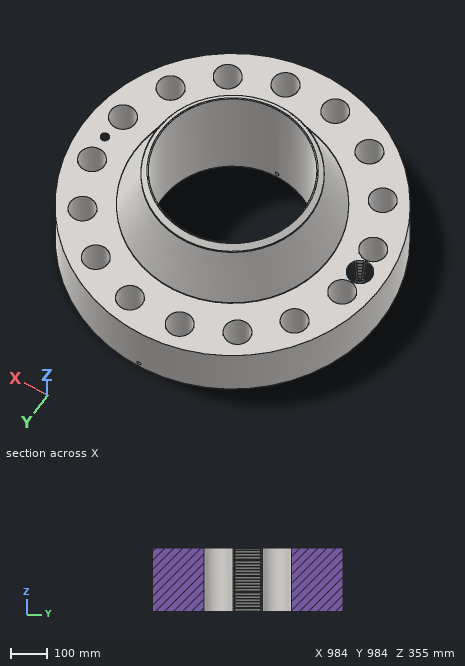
import cadquery as cq

flange_diameter = 984.0
flange_thickness = 177.0
bore_diameter = 467.0

overall_height = 355.0
hub_base_diameter = 644.0
neck_diameter = 508.0
hub_edge_height = 3.0
neck_land_height = 6.0
weld_bevel_height = 14.0
weld_face_diameter = 474.0

bolt_count = 16
bolt_circle_diameter = 832.0
bolt_hole_diameter = 80.0

jack_radius = 415.0
jack_major_diameter = 76.0
jack_minor_diameter = 70.0
jack_ridge_count = 22

small_radius = 416.0
small_major_diameter = 26.0
small_minor_diameter = 20.0
small_ridge_count = 8
small_thread_depth = 39.0
pilot_diameter = 6.0
pilot_depth = 10.0

tap_height = 18.0
tap_major_diameter = 22.0
tap_minor_diameter = 17.0
tap_ridge_count = 10
tap_depth = 39.0
cross_bore_diameter = 12.0


def flange_body():
    """Revolve the flange, its neck and the bore as one ring."""
    bevel_start = overall_height - weld_bevel_height
    taper_end = bevel_start - neck_land_height
    profile = [
        (bore_diameter / 2, 0),
        (flange_diameter / 2, 0),
        (flange_diameter / 2, flange_thickness),
        (hub_base_diameter / 2, flange_thickness),
        (hub_base_diameter / 2, flange_thickness + hub_edge_height),
        (neck_diameter / 2, taper_end),
        (neck_diameter / 2, bevel_start),
        (weld_face_diameter / 2, overall_height),
        (bore_diameter / 2, overall_height),
    ]
    return cq.Workplane("XZ").polyline(profile).close().revolve(360, (0, 0), (0, 1))


def thread_cutter(major_diameter, minor_diameter, ridge_count, length):
    """Core along +Z from the origin, with ring-shaped V threads and both ends at the major diameter."""
    pitch = length / ridge_count
    outline = [(0, 0), (major_diameter / 2, 0)]
    for ridge in range(ridge_count):
        outline.append((minor_diameter / 2, (ridge + 0.5) * pitch))
        outline.append((major_diameter / 2, (ridge + 1) * pitch))
    outline.append((0, length))
    return cq.Workplane("XZ").polyline(outline).close().revolve(360, (0, 0), (0, 1))


def bolt_holes():
    """Through holes, with the X and Y axes midway between neighbouring holes."""
    return (
        cq.Workplane("XY")
        .polarArray(bolt_circle_diameter / 2, 180 / bolt_count, 360, bolt_count)
        .circle(bolt_hole_diameter / 2)
        .extrude(flange_thickness)
    )


def jack_hole():
    thread = thread_cutter(jack_major_diameter, jack_minor_diameter, jack_ridge_count, flange_thickness)
    return thread.translate((-jack_radius, 0, 0))


def small_hole():
    thread = thread_cutter(small_major_diameter, small_minor_diameter, small_ridge_count, small_thread_depth)
    pilot = cq.Workplane("XY").circle(pilot_diameter / 2).extrude(-pilot_depth)
    return thread.union(pilot).translate((small_radius, 0, flange_thickness - small_thread_depth))


def tap_and_cross_bore():
    thread = thread_cutter(tap_major_diameter, tap_minor_diameter, tap_ridge_count, tap_depth)
    cross_bore = cq.Workplane("XY").circle(cross_bore_diameter / 2).extrude(flange_diameter)
    along_y = thread.union(cross_bore).rotate((0, 0, 0), (1, 0, 0), -90)
    return along_y.translate((0, -flange_diameter / 2, tap_height))


result = (
    flange_body()
    .cut(bolt_holes())
    .cut(jack_hole())
    .cut(small_hole())
    .cut(tap_and_cross_bore())
)